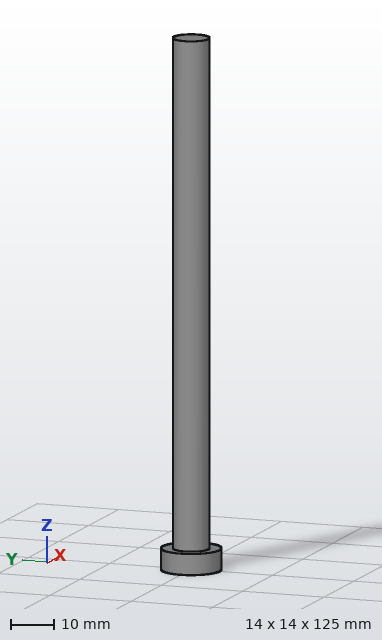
import cadquery as cq

total_length = 125.0
head_diameter = 14.0
head_height = 5.0
shank_diameter = 8.5

bottom = -total_length / 2

head = (
    cq.Workplane("XY", origin=(0, 0, bottom))
    .circle(head_diameter / 2)
    .extrude(head_height)
)
shank = (
    cq.Workplane("XY", origin=(0, 0, bottom))
    .circle(shank_diameter / 2)
    .extrude(total_length)
)

result = head.union(shank)